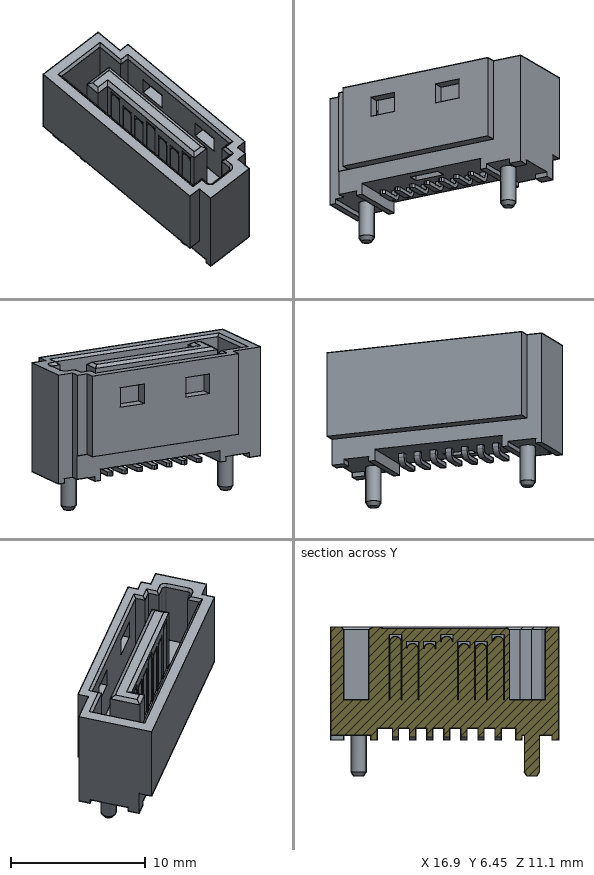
import cadquery as cq
import math


LENGTH = 16.9
HEIGHT = 8.38
FRONT_LENGTH = 15.7
BUMP_FRONT = 0.98
BUMP_BACK = 4.95
MAIN_BACK = 5.65
SHOULDER_BACK = 5.7
REAR_BACK = 6.45
REAR_LEFT = 2.35
REAR_RIGHT = 14.87

FRONT_LEDGE = 1.98
REAR_LEDGE = 2.18
BASE_FRONT = BUMP_FRONT

MOUTH_CHAMFER = 0.2
RIM = 0.78
WALL = RIM + MOUTH_CHAMFER
FLOOR = 2.99
CAVITY_RIGHT = 15.02
BUMP_CAVITY_FRONT = 1.9
BUMP_CAVITY_BACK = 4.05
BUMP_CAVITY_RIGHT = 15.89
SHOULDER_CAVITY_RIGHT = 14.87
SHOULDER_CAVITY_BACK = 4.88
REAR_CAVITY_LEFT = 3.21
REAR_CAVITY_RIGHT = 14.05
REAR_CAVITY_BACK = 5.61
BUMP_CORNER_RADIUS = 0.24

TONGUE_LEFT = 2.8
TONGUE_RIGHT = 13.25
TONGUE_FRONT = 2.79
TONGUE_BACK = 4.09
HOOK_RIGHT = 3.99
HOOK_FRONT = 1.79
TIP_INSET = 0.3
TIP_HEIGHT = 0.2

CONTACT_COUNT = 7
CONTACT_PITCH = 1.27
FIRST_CONTACT = 4.8
SLOT_WIDTH = 0.9
BLADE_WIDTH = 0.86
BLADE_TOP_GAP = 0.14
SLOT_DEPTH = 0.34
CONTACT_RECESS = 0.03
LONG_TOP = 7.82
SHORT_TOP = 7.3
LONG_CONTACTS = (0, 3, 6)
TAIL_WIDTH = 0.47
CONTACT_THICKNESS = SLOT_DEPTH - CONTACT_RECESS
TAIL_END = 4.97
TAIL_TIP_CHAMFER = 0.15
TAIL_BEND_RADIUS = 0.55

REAR_WINDOW_LEFTS = (4.85, 10.43)
REAR_WINDOW_WIDTH = 2.03
REAR_WINDOW_TOP = 7.17
REAR_WINDOW_HEIGHT = 1.5
FLOOR_WINDOW_LEFT = 7.59
FLOOR_WINDOW_RIGHT = 9.95
FLOOR_WINDOW_BACK = 4.93

TAIL_CHANNEL = (3.46, 13.7)
TAIL_CHANNEL_HEIGHT = 0.86
FOOT_CHANNELS = ((0.98, 2.95), (14.18, 16.4))
FOOT_CHANNEL_HEIGHT = 0.35
LEFT_NOTCH_FRONT = 1.85
LEFT_NOTCH_BACK = 4.78
PEG_CENTERS = ((2.06, 3.99), (14.9, 2.97))
PEG_RADIUS = 0.57
PEG_LENGTH = 2.67
PEG_TIP_INSET = 0.2
PEG_TIP_HEIGHT = 0.32


def box(x_range, y_range, z_range):
    """Box between two limits along each axis."""
    sizes = [high - low for low, high in (x_range, y_range, z_range)]
    return cq.Workplane().box(*sizes, centered=False).translate((x_range[0], y_range[0], z_range[0]))


def housing_block():
    outline = [
        (0, 0),
        (FRONT_LENGTH, 0),
        (FRONT_LENGTH, BUMP_FRONT),
        (LENGTH, BUMP_FRONT),
        (LENGTH, BUMP_BACK),
        (FRONT_LENGTH, BUMP_BACK),
        (FRONT_LENGTH, SHOULDER_BACK),
        (REAR_RIGHT, SHOULDER_BACK),
        (REAR_RIGHT, REAR_BACK),
        (REAR_LEFT, REAR_BACK),
        (REAR_LEFT, MAIN_BACK),
        (0, MAIN_BACK),
    ]
    block = cq.Workplane().polyline(outline).close().extrude(HEIGHT)
    front_undercut = box((0, LENGTH), (0, BASE_FRONT), (0, FRONT_LEDGE))
    rear_undercut = box((0, LENGTH), (MAIN_BACK, REAR_BACK), (0, REAR_LEDGE))
    return block.cut(front_undercut).cut(rear_undercut)


def cavity():
    """Stepped pocket with two rounded corners in its end bump."""
    outline = [
        (WALL, WALL),
        (CAVITY_RIGHT, WALL),
        (CAVITY_RIGHT, BUMP_CAVITY_FRONT),
        (BUMP_CAVITY_RIGHT, BUMP_CAVITY_FRONT),
        (BUMP_CAVITY_RIGHT, BUMP_CAVITY_BACK),
        (SHOULDER_CAVITY_RIGHT, BUMP_CAVITY_BACK),
        (SHOULDER_CAVITY_RIGHT, SHOULDER_CAVITY_BACK),
        (REAR_CAVITY_RIGHT, SHOULDER_CAVITY_BACK),
        (REAR_CAVITY_RIGHT, REAR_CAVITY_BACK),
        (REAR_CAVITY_LEFT, REAR_CAVITY_BACK),
        (REAR_CAVITY_LEFT, SHOULDER_CAVITY_BACK),
        (WALL, SHOULDER_CAVITY_BACK),
    ]
    pocket = cq.Workplane(origin=(0, 0, FLOOR)).polyline(outline).close().extrude(HEIGHT - FLOOR)
    return pocket.edges("|Z and >X").fillet(BUMP_CORNER_RADIUS)


def housing_shell():
    """Housing with its cavity and the lead-in chamfer around the cavity mouth."""
    shell = housing_block().cut(cavity())
    mouth_edges = shell.faces(">Z").val().innerWires()[0].Edges()
    return shell.newObject(mouth_edges).chamfer(MOUTH_CHAMFER)


def tongue_outline(inset):
    """Corners of the L-shaped tongue, moved inward by the inset."""
    return [
        (TONGUE_LEFT + inset, HOOK_FRONT + inset),
        (HOOK_RIGHT - inset, HOOK_FRONT + inset),
        (HOOK_RIGHT - inset, TONGUE_FRONT + inset),
        (TONGUE_RIGHT - inset, TONGUE_FRONT + inset),
        (TONGUE_RIGHT - inset, TONGUE_BACK - inset),
        (TONGUE_LEFT + inset, TONGUE_BACK - inset),
    ]


def tongue():
    """L-shaped tongue with a tapered tip."""
    tip_base = HEIGHT - TIP_HEIGHT
    stem_profile = cq.Workplane(origin=(0, 0, tip_base)).polyline(tongue_outline(0)).close()
    stem = stem_profile.extrude(FLOOR - tip_base)
    tip = (
        cq.Workplane(origin=(0, 0, tip_base))
        .polyline(tongue_outline(0))
        .close()
        .workplane(offset=TIP_HEIGHT)
        .polyline(tongue_outline(TIP_INSET))
        .close()
        .loft(ruled=True)
    )
    return stem.union(tip)


def contact_slot(center, top):
    x_range = (center - SLOT_WIDTH / 2, center + SLOT_WIDTH / 2)
    return box(x_range, (TONGUE_FRONT, TONGUE_FRONT + SLOT_DEPTH), (FLOOR, top))


def contact_blade(center, top):
    """Flat blade with a semicircular tip, standing against the back of its slot."""
    half_width = BLADE_WIDTH / 2
    shoulder = top - half_width
    return (
        cq.Workplane("XZ", origin=(center, TONGUE_FRONT + SLOT_DEPTH, 0))
        .moveTo(-half_width, FLOOR)
        .lineTo(half_width, FLOOR)
        .lineTo(half_width, shoulder)
        .threePointArc((0, top), (-half_width, shoulder))
        .close()
        .extrude(CONTACT_THICKNESS)
    )


def contact_tail(center):
    """Stem below the floor that bends backward to a foot with a chamfered end."""
    front = TONGUE_FRONT + CONTACT_RECESS
    inner_radius = TAIL_BEND_RADIUS - CONTACT_THICKNESS
    bend_y = front + TAIL_BEND_RADIUS
    diagonal = math.sqrt(0.5)
    outer_mid = (bend_y - TAIL_BEND_RADIUS * diagonal, TAIL_BEND_RADIUS * (1 - diagonal))
    inner_mid = (bend_y - inner_radius * diagonal, TAIL_BEND_RADIUS - inner_radius * diagonal)
    tail = (
        cq.Workplane("YZ", origin=(center - TAIL_WIDTH / 2, 0, 0))
        .moveTo(front, FLOOR)
        .lineTo(front, TAIL_BEND_RADIUS)
        .threePointArc(outer_mid, (bend_y, 0))
        .lineTo(TAIL_END, 0)
        .lineTo(TAIL_END, CONTACT_THICKNESS)
        .lineTo(bend_y, CONTACT_THICKNESS)
        .threePointArc(inner_mid, (front + CONTACT_THICKNESS, TAIL_BEND_RADIUS))
        .lineTo(front + CONTACT_THICKNESS, FLOOR)
        .close()
        .extrude(TAIL_WIDTH)
    )
    return tail.faces(">Y").edges("|Z").chamfer(TAIL_TIP_CHAMFER)


def peg(center):
    """Locating peg with a conical tip, rooted in the foot above it."""
    tip_end = cq.Workplane(origin=(*center, -PEG_LENGTH)).circle(PEG_RADIUS - PEG_TIP_INSET)
    tip = tip_end.workplane(offset=PEG_TIP_HEIGHT).circle(PEG_RADIUS).loft()
    pin = tip.faces(">Z").workplane().circle(PEG_RADIUS)
    return pin.extrude(PEG_LENGTH - PEG_TIP_HEIGHT + FOOT_CHANNEL_HEIGHT)


body = housing_shell().union(tongue())

for left in REAR_WINDOW_LEFTS:
    window_z = (REAR_WINDOW_TOP - REAR_WINDOW_HEIGHT, REAR_WINDOW_TOP)
    body = body.cut(box((left, left + REAR_WINDOW_WIDTH), (REAR_CAVITY_BACK, REAR_BACK), window_z))
floor_window_x = (FLOOR_WINDOW_LEFT, FLOOR_WINDOW_RIGHT)
body = body.cut(box(floor_window_x, (TONGUE_BACK, FLOOR_WINDOW_BACK), (0, FLOOR)))

body = body.cut(box(TAIL_CHANNEL, (0, REAR_BACK), (0, TAIL_CHANNEL_HEIGHT)))
for channel in FOOT_CHANNELS:
    body = body.cut(box(channel, (0, REAR_BACK), (0, FOOT_CHANNEL_HEIGHT)))
left_notch_x = (0, FOOT_CHANNELS[0][0])
body = body.cut(box(left_notch_x, (LEFT_NOTCH_FRONT, LEFT_NOTCH_BACK), (0, FOOT_CHANNEL_HEIGHT)))

for index in range(CONTACT_COUNT):
    contact_x = FIRST_CONTACT + index * CONTACT_PITCH
    contact_top = LONG_TOP if index in LONG_CONTACTS else SHORT_TOP
    body = body.cut(contact_slot(contact_x, contact_top))
    body = body.union(contact_blade(contact_x, contact_top - BLADE_TOP_GAP)).union(contact_tail(contact_x))

for peg_center in PEG_CENTERS:
    body = body.union(peg(peg_center))

result = body